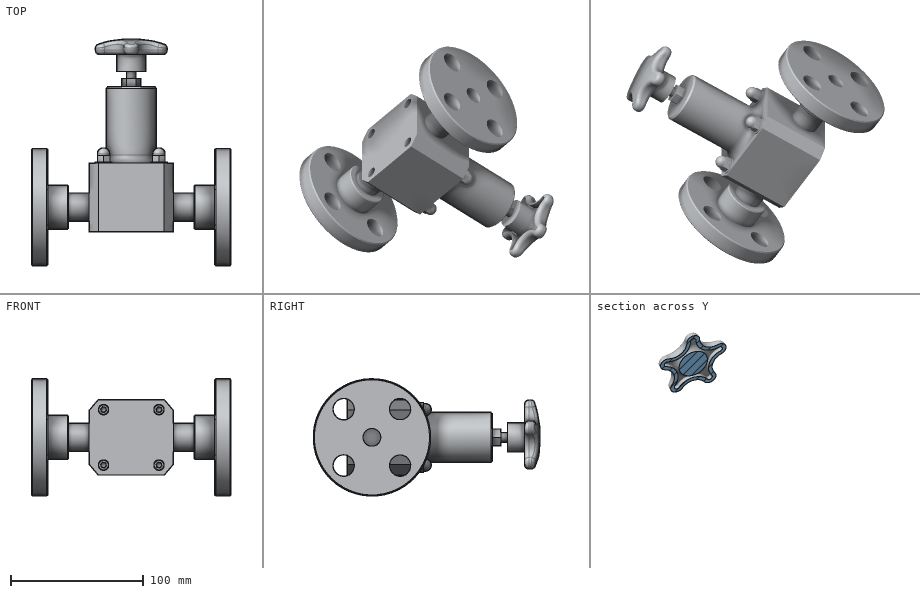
import cadquery as cq
import math

overall_length = 150.9
overall_depth = 171.8

flange_diameter = 88.8
flange_thickness = 12.4
flange_edge_chamfer = 0.9
flange_hole_diameter = 16.0
flange_hole_offset = 21.3
collar_diameter = 33.5
collar_length = 15.5
collar_edge_chamfer = 0.7
pipe_diameter = 21.5
bore_diameter = 13.4
bore_depth = 12.4

body_width = 63.5
body_height = 57.2
body_front = -18.7
body_back = 33.3
corner_cut_x = 6.9
corner_cut_z = 8.0

bolt_offset = 21.0
bolt_hole_diameter = 7.9
bolt_hole_depth = 9.0
bolt_head_diameter = 7.4
bolt_head_recess = 3.8
socket_flats = 4.0
socket_depth = 2.5
socket_cone_depth = 1.0
washer_diameter = 12.7
washer_thickness = 0.9
cap_nut_diameter = 9.5
cap_nut_hex_height = 4.8
cap_nut_neck_height = 1.2

bonnet_diameter = 38.1
bonnet_back = 91.0
bonnet_root_fillet = 6.2
bonnet_edge_chamfer = 1.2
gland_flats = 12.7
gland_back = 97.5
spindle_diameter = 7.4

hub_diameter = 22.2
hub_front = 102.4
wheel_front = 115.3
wheel_back = overall_depth - flange_diameter / 2
arm_count = 5
arm_tip_radius = 5.5
arm_tip_distance = 22.9
crown_radius = 80.8
wheel_front_fillet = 3.5
wheel_back_fillet = 3.0
recess_depth = 6.0


def rod(diameter, y_start, y_end, x=0, z=0):
    """Cylinder along Y between two Y positions."""
    return cq.Workplane("XZ", origin=(x, y_start, z)).circle(diameter / 2).extrude(y_start - y_end)


def hex_bar(across_flats, y_start, y_end, x=0, z=0, turn=0):
    """Hexagonal bar along Y; corners point to +-X unless turned."""
    across_corners = across_flats / math.cos(math.pi / 6)
    bar = cq.Workplane("XZ").polygon(6, across_corners).extrude(y_start - y_end)
    return bar.rotate((0, 0, 0), (0, 1, 0), turn).translate((x, y_start, z))


def flange_end():
    """Flange, collar and pipe on the -X side."""
    outer_face = -overall_length / 2
    flange = cq.Workplane("YZ").circle(flange_diameter / 2).extrude(flange_thickness)
    flange = flange.edges().chamfer(flange_edge_chamfer)
    collar = cq.Workplane("YZ").circle(collar_diameter / 2).extrude(flange_thickness + collar_length)
    collar = collar.edges(">X").chamfer(collar_edge_chamfer)
    pipe = cq.Workplane("YZ").circle(pipe_diameter / 2).extrude(overall_length / 2)
    hole_spacing = 2 * flange_hole_offset
    holes = (
        cq.Workplane("YZ")
        .rect(hole_spacing, hole_spacing, forConstruction=True)
        .vertices()
        .circle(flange_hole_diameter / 2)
        .extrude(flange_thickness)
    )
    bore = cq.Workplane("YZ").circle(bore_diameter / 2).extrude(bore_depth)
    end = flange.union(collar).cut(holes).union(pipe).cut(bore)
    return end.translate((outer_face, 0, 0))


def body():
    """Block with its four corners cut along Y."""
    half_x = body_width / 2
    half_z = body_height / 2
    flat_x = half_x - corner_cut_x
    flat_z = half_z - corner_cut_z
    outline = [
        (half_x, flat_z), (flat_x, half_z), (-flat_x, half_z), (-half_x, flat_z),
        (-half_x, -flat_z), (-flat_x, -half_z), (flat_x, -half_z), (half_x, -flat_z),
    ]
    return (
        cq.Workplane("XZ", origin=(0, body_back, 0))
        .polyline(outline)
        .close()
        .extrude(body_back - body_front)
    )


def flared_root(radius, flare, base, direction):
    """Disc around the Y axis that widens through a concave quarter circle to its base."""
    tip = base + direction * flare
    arc_inset = flare * (1 - math.sqrt(0.5))
    profile = (
        cq.Workplane("XY")
        .moveTo(0, base)
        .lineTo(radius + flare, base)
        .threePointArc((radius + arc_inset, base + direction * arc_inset), (radius, tip))
        .lineTo(0, tip)
        .close()
    )
    return profile.revolve(360, (0, 0, 0), (0, 1, 0))


def bonnet():
    """Cylinder with a flared root and a chamfered back rim."""
    barrel = rod(bonnet_diameter, body_back, bonnet_back).edges(">Y").chamfer(bonnet_edge_chamfer)
    return barrel.union(flared_root(bonnet_diameter / 2, bonnet_root_fillet, body_back, 1))


def cap_nut(x, z):
    """Washer and domed nut on the back of the body."""
    washer_back = body_back + washer_thickness
    hex_back = washer_back + cap_nut_hex_height
    neck_back = hex_back + cap_nut_neck_height
    washer = rod(washer_diameter, body_back, washer_back, x, z)
    nut = hex_bar(cap_nut_diameter, washer_back, hex_back, x, z, turn=30)
    neck = rod(cap_nut_diameter, hex_back, neck_back, x, z)
    dome = cq.Workplane("XY").sphere(cap_nut_diameter / 2).translate((x, neck_back, z))
    return washer.union(nut).union(neck).union(dome)


def bolt_hole(x, z):
    """Hole in the body front that leaves a sunk bolt head with a hex socket standing in it."""
    head_face = body_front + bolt_head_recess
    hole_floor = body_front + bolt_hole_depth
    socket_floor = head_face + socket_depth
    hole = rod(bolt_hole_diameter, body_front, hole_floor, x, z)
    head = rod(bolt_head_diameter, head_face, hole_floor, x, z)
    socket = hex_bar(socket_flats, head_face, socket_floor, x, z, turn=15)
    cone = (
        cq.Workplane("XY")
        .polyline([(0, 0), (socket_flats / 2, 0), (0, socket_cone_depth)])
        .close()
        .revolve(360, (0, 0, 0), (0, 1, 0))
        .translate((x, socket_floor, z))
    )
    return hole.cut(head.cut(socket).cut(cone))


def star_prism(tip_radius, height):
    """Star with round arm tips and round valleys, extruded from the wheel front toward +Y."""
    step = 2 * math.pi / arm_count
    first_arm = math.pi / 2
    valley_center = arm_tip_distance / math.cos(step / 2)
    valley_radius = arm_tip_distance * math.tan(step / 2) - tip_radius

    def star_point(distance, angle, sideways=0):
        return (
            distance * math.cos(angle) - sideways * math.sin(angle),
            distance * math.sin(angle) + sideways * math.cos(angle),
        )

    outline = cq.Workplane("XZ", origin=(0, wheel_front, 0))
    outline = outline.moveTo(*star_point(arm_tip_distance, first_arm, -tip_radius))
    for arm in range(arm_count):
        angle = first_arm + arm * step
        outline = outline.threePointArc(
            star_point(arm_tip_distance + tip_radius, angle),
            star_point(arm_tip_distance, angle, tip_radius),
        )
        outline = outline.threePointArc(
            star_point(valley_center - valley_radius, angle + step / 2),
            star_point(arm_tip_distance, angle + step, -tip_radius),
        )
    return outline.close().extrude(-height)


def handwheel():
    """Crowned star wheel, hollowed from the front around a hub with a flared root."""
    star = star_prism(arm_tip_radius, wheel_back - wheel_front)
    crown = cq.Workplane("XY").sphere(crown_radius).translate((0, wheel_back - crown_radius, 0))
    star = star.intersect(crown)
    star = star.faces("<Y").edges().fillet(wheel_front_fillet)
    star = star.faces(">Y").edges().fillet(wheel_back_fillet)
    recess = star_prism(arm_tip_radius - wheel_front_fillet, recess_depth)
    hub = rod(hub_diameter, hub_front, wheel_front)
    flare = flared_root(hub_diameter / 2, recess_depth, wheel_front + recess_depth, -1)
    return star.cut(recess.cut(flare)).union(hub)


left_end = flange_end()
result = body().union(left_end).union(left_end.mirror("YZ")).union(bonnet())
for x in (-bolt_offset, bolt_offset):
    for z in (-bolt_offset, bolt_offset):
        result = result.union(cap_nut(x, z))
        result = result.cut(bolt_hole(x, z))
result = result.union(hex_bar(gland_flats, bonnet_back, gland_back))
result = result.union(rod(spindle_diameter, gland_back, hub_front))
result = result.union(handwheel())